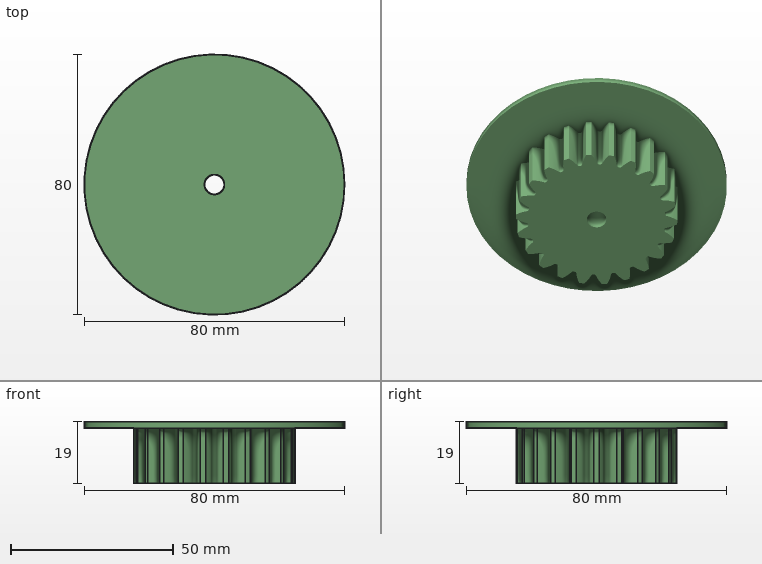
import cadquery as cq
import math

flange_diameter = 80.0
flange_thickness = 2.0

tooth_count = 22
gear_height = 17.0
tip_radius = 24.8
tip_half_width = 0.83
flank_radius = 11.7
foot_radius = 21.65
foot_half_gap = 0.82
root_radius = 21.1
floor_half_width = 0.13

bore_diameter = 6.0

total_height = gear_height + flange_thickness
pitch_angle = 2 * math.pi / tooth_count
tip_half_angle = math.asin(tip_half_width / tip_radius)
foot_half_angle = pitch_angle / 2 - math.asin(foot_half_gap / foot_radius)
floor_half_angle = math.asin(floor_half_width / root_radius)

fillet_rise = math.sqrt(foot_radius**2 - foot_half_gap**2) - root_radius
fillet_run = foot_half_gap - floor_half_width
fillet_radius = (fillet_rise**2 + fillet_run**2) / (2 * fillet_rise)


def polar(radius, angle):
    return (radius * math.cos(angle), radius * math.sin(angle))


def arc_middle(start, end, radius):
    """Middle of the arc between two points, bowed to the right when going from start to end."""
    dx = end[0] - start[0]
    dy = end[1] - start[1]
    chord = math.hypot(dx, dy)
    sagitta = radius - math.sqrt(radius**2 - (chord / 2) ** 2)
    middle_x = (start[0] + end[0]) / 2 + sagitta * dy / chord
    middle_y = (start[1] + end[1]) / 2 - sagitta * dx / chord
    return (middle_x, middle_y)


def add_tooth(outline, tooth_angle):
    """Add one tooth and the gap after it, starting at the tooth's first flank foot."""
    gap_angle = tooth_angle + pitch_angle / 2
    foot_start = polar(foot_radius, tooth_angle - foot_half_angle)
    tip_start = polar(tip_radius, tooth_angle - tip_half_angle)
    tip_end = polar(tip_radius, tooth_angle + tip_half_angle)
    foot_end = polar(foot_radius, tooth_angle + foot_half_angle)
    floor_start = polar(root_radius, gap_angle - floor_half_angle)
    floor_end = polar(root_radius, gap_angle + floor_half_angle)
    next_foot = polar(foot_radius, tooth_angle + pitch_angle - foot_half_angle)

    outline = outline.threePointArc(arc_middle(foot_start, tip_start, flank_radius), tip_start)
    outline = outline.threePointArc(polar(tip_radius, tooth_angle), tip_end)
    outline = outline.threePointArc(arc_middle(tip_end, foot_end, flank_radius), foot_end)
    outline = outline.threePointArc(arc_middle(floor_start, foot_end, fillet_radius), floor_start)
    outline = outline.threePointArc(polar(root_radius, gap_angle), floor_end)
    return outline.threePointArc(arc_middle(next_foot, floor_end, fillet_radius), next_foot)


def make_gear():
    outline = cq.Workplane("XY").moveTo(*polar(foot_radius, -foot_half_angle))
    for tooth in range(tooth_count):
        outline = add_tooth(outline, tooth * pitch_angle)
    return outline.close().extrude(gear_height)


def make_flange():
    disc = cq.Workplane("XY", origin=(0, 0, gear_height)).circle(flange_diameter / 2)
    return disc.extrude(flange_thickness)


def make_bore():
    return cq.Workplane("XY").circle(bore_diameter / 2).extrude(total_height)


result = make_flange().union(make_gear()).cut(make_bore())